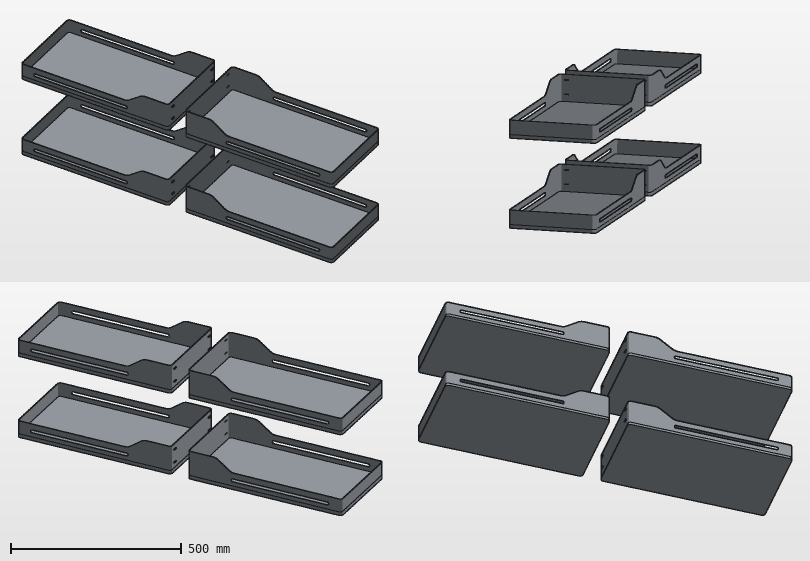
import cadquery as cq

overall_length = 1072.0
overall_height = 362.0
tier_count = 2
tray_length = 508.0
tray_width = 267.0
tray_height = 92.0
tier_pitch = (overall_height - tray_height) / (tier_count - 1)

wall = 2.0
floor_top = 11.0
corner_radius = 10.0
low_wall_height = 55.0

step_top = 91.0
step_bottom = 144.0
step_radius = 30.0

slot_height = 10.0
slot_length = 322.0
slot_center_height = 30.0
slot_end_gap = 44.0

tab_width = 13.0
tab_height = 2.0
tab_depth = 3.0
tab_offset = 110.0
tab_heights = [32.0, 75.0]


def tray_outline():
    """Full-height block, tall end at x = 0 and low end at x = tray_length."""
    return (
        cq.Workplane("XY")
        .box(tray_length, tray_width, tray_height, centered=(False, True, False))
        .edges("|Z")
        .fillet(corner_radius)
    )


def cavity():
    """Space enclosed by the walls, above the floor."""
    return (
        cq.Workplane("XY")
        .workplane(offset=floor_top)
        .center(wall, 0)
        .box(tray_length - 2 * wall, tray_width - 2 * wall, tray_height, centered=(False, True, False))
        .edges("|Z")
        .fillet(corner_radius - wall)
    )


def side_profile():
    """Side silhouette with the rounded slope from the tall end to the low end."""
    profile = (
        cq.Workplane("XZ")
        .polyline(
            [
                (0, 0),
                (tray_length, 0),
                (tray_length, low_wall_height),
                (step_bottom, low_wall_height),
                (step_top, tray_height),
                (0, tray_height),
            ]
        )
        .close()
        .extrude(tray_width / 2, both=True)
    )
    slope_top = cq.selectors.NearestToPointSelector((step_top, 0, tray_height))
    slope_bottom = cq.selectors.NearestToPointSelector((step_bottom, 0, low_wall_height))
    return profile.edges(slope_top).fillet(step_radius).edges(slope_bottom).fillet(step_radius)


def side_slots():
    """Long rounded slot through both side walls."""
    return (
        cq.Workplane("XZ")
        .center(tray_length - slot_end_gap - slot_length / 2, slot_center_height)
        .slot2D(slot_length, slot_height)
        .extrude(tray_width, both=True)
    )


def end_tabs():
    """Small tabs standing out of the tall end wall, rooted in its thickness."""
    tab_center_x = (wall - tab_depth) / 2
    tab_centers = [
        (tab_center_x, y, z)
        for y in (-tab_offset, tab_offset)
        for z in tab_heights
    ]
    return (
        cq.Workplane("XY")
        .pushPoints(tab_centers)
        .box(tab_depth + wall, tab_width, tab_height)
    )


def make_tray():
    """One tray as a single solid, standing on z = 0."""
    shell = tray_outline().intersect(side_profile()).cut(cavity())
    return shell.cut(side_slots()).union(end_tabs())


right_tray = make_tray().translate((overall_length / 2 - tray_length, 0, 0))
left_tray = right_tray.rotate((0, 0, 0), (0, 0, 1), 180)

trays = []
for tier in range(tier_count):
    for tray in (left_tray, right_tray):
        trays.append(tray.translate((0, 0, tier * tier_pitch)).val())

result = cq.Compound.makeCompound(trays)